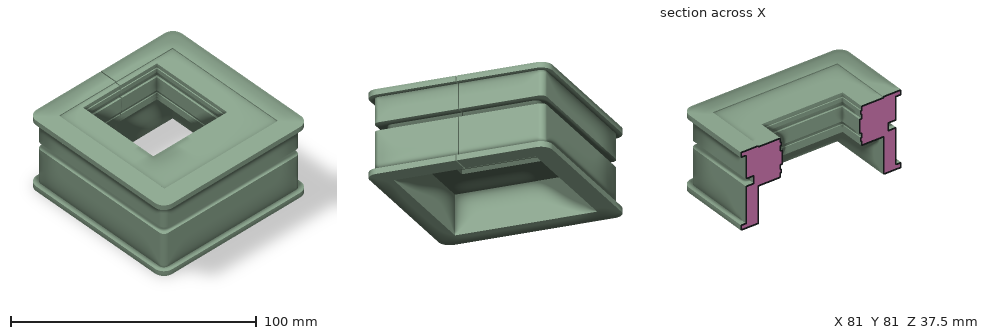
import cadquery as cq

frame_height = 37.5
flange_side = 81.0
flange_thickness = 2.5
flange_corner_radius = 5.0
wall_inset = 2.5
wall_side = flange_side - 2 * wall_inset
wall_corner_radius = 2.5
groove_depth = 4.0
groove_side = wall_side - 2 * groove_depth
groove_bottom_z = 20.25
groove_width = 3.5
bore_side = 63.0

core_recess = 0.5
core_top_z = frame_height - core_recess
layer_thickness = 2.0
throat_thickness = 7.0

window_length = 42.0
window_width = 41.0
window_bore_margin = 2.5
window_center_x = -bore_side / 2 + window_bore_margin + window_length / 2
lip_inset = 0.5
throat_inset = 1.0

core_layers = [
    (layer_thickness, 0.0),
    (layer_thickness, lip_inset),
    (layer_thickness, 0.0),
    (throat_thickness, throat_inset),
    (layer_thickness, 0.0),
    (layer_thickness, lip_inset),
    (layer_thickness, 0.0),
]

slit_width = 0.5


def square_slab(side, corner_radius, bottom_z, height):
    """Square slab centred on the Z axis, with rounded vertical edges."""
    slab = cq.Workplane("XY").workplane(offset=bottom_z).rect(side, side).extrude(height)
    return slab.edges("|Z").fillet(corner_radius)


def make_frame():
    top_flange_z = frame_height - flange_thickness
    groove_top_z = groove_bottom_z + groove_width
    frame = square_slab(groove_side, wall_corner_radius, 0, frame_height)
    for bottom_z, top_z in ((0, groove_bottom_z), (groove_top_z, frame_height)):
        frame = frame.union(square_slab(wall_side, wall_corner_radius, bottom_z, top_z - bottom_z))
    for bottom_z in (0, top_flange_z):
        frame = frame.union(square_slab(flange_side, flange_corner_radius, bottom_z, flange_thickness))
    bore = cq.Workplane("XY").rect(bore_side, bore_side).extrude(frame_height)
    return frame.cut(bore)


def make_core_layer(top_z, thickness, inset):
    """One core layer filling the bore, with its own window size."""
    return (
        cq.Workplane("XY")
        .workplane(offset=top_z - thickness)
        .rect(bore_side, bore_side)
        .moveTo(window_center_x, 0)
        .rect(window_length - 2 * inset, window_width - 2 * inset)
        .extrude(thickness)
    )


def add_core(body):
    top_z = core_top_z
    for thickness, inset in core_layers:
        body = body.union(make_core_layer(top_z, thickness, inset))
        top_z -= thickness
    return body


def make_slit():
    length = flange_side / 2 + window_center_x
    return cq.Workplane("XY").box(length, slit_width, frame_height, centered=(False, True, False)).translate(
        (-flange_side / 2, 0, 0)
    )


result = add_core(make_frame()).cut(make_slit())